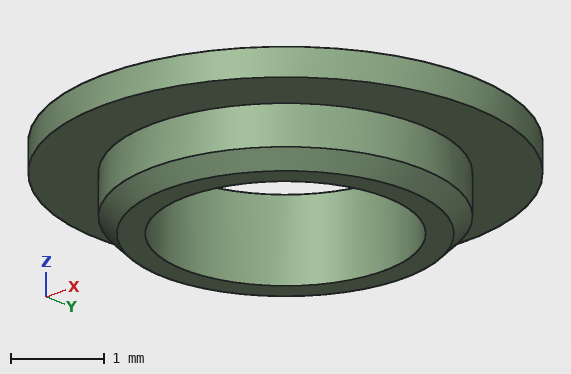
import cadquery as cq

flange_diameter = 5.5
flange_thickness = 0.35
sleeve_diameter = 4.0
bore_diameter = 3.0
total_height = 1.05
lead_in_chamfer = 0.2

sleeve_length = total_height - flange_thickness

sleeve = (
    cq.Workplane("XY")
    .circle(sleeve_diameter / 2)
    .extrude(sleeve_length)
    .faces("<Z")
    .chamfer(lead_in_chamfer)
)

flange = (
    cq.Workplane("XY")
    .workplane(offset=sleeve_length)
    .circle(flange_diameter / 2)
    .extrude(flange_thickness)
)

bore = cq.Workplane("XY").circle(bore_diameter / 2).extrude(total_height)

result = sleeve.union(flange).cut(bore)